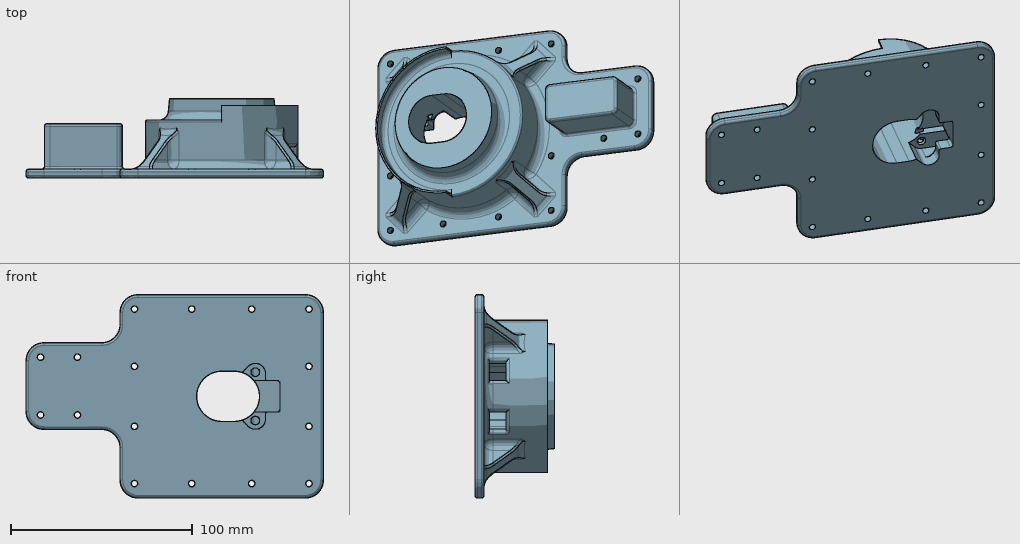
import cadquery as cq
import math

body_size = 112.0
tab_length = 51.7
tab_height = 47.8
tab_center_z = 5.65
plate_thickness = 5.0
plate_corner_radius = 10.0
plate_edge_radius = 1.5
half_body = body_size / 2
tab_end_x = -half_body - tab_length

screw_diameter = 3.4
screw_edge_inset = 8.0
outer_screw_offset = half_body - screw_edge_inset
inner_screw_offset = 16.5
tab_screw_pitch = 20.3
outer_tab_screw_x = tab_end_x + screw_edge_inset
tab_screw_x = (outer_tab_screw_x, outer_tab_screw_x + tab_screw_pitch)
tab_screw_offset_z = tab_height / 2 - screw_edge_inset

drum_radius = 42.0
drum_top = 32.0
drum_rim_radius = 1.0
root_radius = 5.0
wall_thickness = drum_rim_radius
wall_top = 40.0
wall_root_radius = 3.0
boss_top = 43.8
boss_top_radius = 28.8
boss_base_radius = 29.5
boss_root_radius = 5.0

rib_thickness = 8.0
rib_foot_radius = 62.0
rib_edge_chamfer = 1.0
rib_angles = (45, 135, 225, 315)

box_length = 43.0
box_height = 21.7
box_center_x = -76.1
box_top = 30.0
box_corner_radius = 3.0
box_edge_radius = 1.5
box_root_radius = 1.5

opening_radius = 13.75
opening_travel = 7.0

pocket_end_x = 32.0
pocket_half_height = 8.6
pocket_depth = 22.0
pocket_corner_radius = 1.5
lobe_center_x = 18.5
lobe_center_z = 12.5
lobe_radius = 5.6
lobe_depth = 17.0
lobe_notch_radius = 1.0

slot_start_depth = 8.0
slot_outer_z = lobe_center_z + lobe_radius
slot_rim_radius = 2.0

pilot_diameter = 4.7
pilot_z = 13.3
cross_hole_depth = 21.5
cross_hole_reach = 16.5


def section(y):
    """Sketch plane parallel to XZ at depth y; its normal faces -Y."""
    return cq.Workplane(cq.Plane(origin=(0, y, 0), xDir=(1, 0, 0), normal=(0, -1, 0)))


def prism(sketch, length):
    """Extrude a section toward +Y."""
    return sketch.extrude(-length)


def make_plate():
    """Square body and tab; the corners between and around them share one radius."""
    body = prism(section(0).rect(body_size, body_size), plate_thickness)
    tab = prism(
        section(0).center(tab_end_x / 2, tab_center_z).rect(-tab_end_x, tab_height),
        plate_thickness,
    )
    plate = body.union(tab).edges("|Y").fillet(plate_corner_radius)
    return plate.faces("<Y or >Y").edges().fillet(plate_edge_radius)


def make_rib(angle):
    """Radial rib with a 45 degree ridge, starting inside the drum and inside the plate."""
    start_radius = drum_radius - root_radius
    embed = plate_thickness / 2
    profile = [
        (start_radius, embed),
        (rib_foot_radius + embed, embed),
        (start_radius, plate_thickness + rib_foot_radius - start_radius),
    ]
    rib = cq.Workplane("XY").polyline(profile).close().extrude(rib_thickness / 2, both=True)
    return rib.rotate((0, 0, 0), (0, 1, 0), angle)


def ridge_edges():
    """Selector for the straight edges that run up the rib ridges."""
    selector = None
    for angle in rib_angles:
        turn = math.radians(angle)
        along = cq.selectors.ParallelDirSelector(cq.Vector(-math.cos(turn), 1, math.sin(turn)))
        selector = along if selector is None else selector + along
    return selector


def add_drum_and_ribs(plate):
    """Join the drum and ribs to the plate and round every inside corner between them."""
    drum = prism(section(0).circle(drum_radius), drum_top)
    body = plate.union(drum.faces(">Y").edges().fillet(drum_rim_radius))
    for angle in rib_angles:
        body = body.union(make_rib(angle))
    foot_reach = half_body - 2 * plate_edge_radius
    margin = 0.1
    foot_edges = cq.selectors.BoxSelector(
        (-foot_reach, plate_thickness - margin, -foot_reach),
        (foot_reach, plate_thickness + margin, foot_reach),
        boundingbox=True,
    )
    drum_reach = drum_radius + margin
    drum_edges = cq.selectors.BoxSelector(
        (-drum_reach, plate_thickness - margin, -drum_reach),
        (drum_reach, drum_top - margin, drum_reach),
        boundingbox=True,
    )
    body = body.edges(foot_edges + drum_edges).fillet(root_radius)
    return body.edges(ridge_edges()).chamfer(rib_edge_chamfer)


def make_boss():
    """Tapered boss that flares into the drum top."""
    flare_start = drum_top + boss_root_radius
    flare_foot = boss_base_radius + boss_root_radius
    bend = boss_root_radius * (1 - math.sqrt(0.5))
    profile = (
        cq.Workplane("XY")
        .moveTo(0, plate_thickness)
        .lineTo(flare_foot, plate_thickness)
        .lineTo(flare_foot, drum_top)
        .threePointArc((boss_base_radius + bend, drum_top + bend), (boss_base_radius, flare_start))
        .lineTo(boss_top_radius, boss_top)
        .lineTo(0, boss_top)
        .close()
    )
    return profile.revolve(360, (0, 0, 0), (0, 1, 0))


def make_half_wall():
    """Thin upright wall round the +X half of the drum, with a rounded inside root."""
    inner_radius = drum_radius - wall_thickness
    bend = wall_root_radius * (1 - math.sqrt(0.5))
    profile = (
        cq.Workplane("XY")
        .moveTo(drum_radius, drum_top - drum_rim_radius)
        .lineTo(drum_radius, wall_top)
        .lineTo(inner_radius, wall_top)
        .lineTo(inner_radius, drum_top + wall_root_radius)
        .threePointArc(
            (inner_radius - bend, drum_top + bend),
            (inner_radius - wall_root_radius, drum_top),
        )
        .lineTo(inner_radius - wall_root_radius, drum_top - drum_rim_radius)
        .close()
    )
    ring = profile.revolve(180, (0, 0, 0), (0, 1, 0))
    return ring.rotate((0, 0, 0), (0, 1, 0), -90)


def make_box():
    """Solid box with rounded upright corners and a rounded back rim."""
    box = prism(
        section(0).center(box_center_x, tab_center_z).rect(box_length, box_height), box_top
    )
    return box.edges("|Y").fillet(box_corner_radius).faces(">Y").edges().fillet(box_edge_radius)


def add_box(body):
    """Join the box to the tab and round the corner round its foot."""
    margin = box_root_radius / 2
    reach_x = box_length / 2 + margin
    reach_z = box_height / 2 + margin
    foot_edges = cq.selectors.BoxSelector(
        (box_center_x - reach_x, plate_thickness - margin, tab_center_z - reach_z),
        (box_center_x + reach_x, plate_thickness + margin, tab_center_z + reach_z),
        boundingbox=True,
    )
    return body.union(make_box()).edges(foot_edges).fillet(box_root_radius)


def make_opening():
    """Obround opening along Y, from the drum axis toward +X."""
    length = opening_travel + 2 * opening_radius
    outline = section(0).center(opening_travel / 2, 0).slot2D(length, 2 * opening_radius)
    return prism(outline, boss_top)


def make_lobe(side):
    """Pilot-hole recess: a round end with one straight flank and one 45 degree flank."""
    reach = lobe_radius * math.sqrt(0.5)
    flank_run = lobe_center_z + reach
    outline = (
        section(0)
        .moveTo(lobe_center_x + lobe_radius, 0)
        .lineTo(lobe_center_x + lobe_radius, side * lobe_center_z)
        .threePointArc(
            (lobe_center_x, side * (lobe_center_z + lobe_radius)),
            (lobe_center_x - reach, side * (lobe_center_z + reach)),
        )
        .lineTo(lobe_center_x - reach - flank_run, 0)
        .close()
    )
    return prism(outline, lobe_depth)


def pocket_block(start, end):
    """Rectangular part of the pocket between two depths."""
    outline = section(start).center(pocket_end_x / 2, 0).rect(pocket_end_x, 2 * pocket_half_height)
    return prism(outline, end - start)


def make_pocket():
    """Pocket with rounded corners at the plate face and square corners deeper in."""
    lobes = make_lobe(1).union(make_lobe(-1))
    front = pocket_block(0, slot_start_depth).edges("|Y and >X").fillet(pocket_corner_radius)
    margin = 0.1
    notch_x = lobe_center_x + lobe_radius
    notch_edges = cq.selectors.BoxSelector(
        (notch_x - margin, -margin, -pocket_half_height - margin),
        (notch_x + margin, slot_start_depth + margin, pocket_half_height + margin),
        boundingbox=True,
    )
    front = front.union(lobes).edges(notch_edges).edges("|Y").fillet(lobe_notch_radius)
    return front.union(pocket_block(slot_start_depth, pocket_depth))


def make_side_slot(side):
    """Rectangular slot from a lobe out past the drum surface."""
    slot_end_x = half_body
    return prism(
        section(slot_start_depth)
        .center((lobe_center_x + slot_end_x) / 2, side * (pocket_half_height + slot_outer_z) / 2)
        .rect(slot_end_x - lobe_center_x, slot_outer_z - pocket_half_height),
        lobe_depth - slot_start_depth,
    )


def make_pilot_hole(side):
    """Hole from a lobe floor down to the middle of the cross hole."""
    outline = section(lobe_depth).center(lobe_center_x, side * pilot_z).circle(pilot_diameter / 2)
    return prism(outline, cross_hole_depth - lobe_depth)


def make_cross_hole(side):
    """Hole along Z from the pocket wall outward, stopping just beyond a pilot hole."""
    near = side * pocket_half_height
    outline = (
        cq.Workplane("XY", origin=(0, 0, near))
        .center(lobe_center_x, cross_hole_depth)
        .circle(pilot_diameter / 2)
    )
    return outline.extrude(side * cross_hole_reach - near)


def make_screw_holes():
    """Twelve holes round the square body and four on the tab."""
    outer = outer_screw_offset
    inner = inner_screw_offset
    points = []
    for edge in (-outer, outer):
        for along in (-outer, -inner, inner, outer):
            points.append((along, edge))
        for along in (-inner, inner):
            points.append((edge, along))
    for x in tab_screw_x:
        for side in (-1, 1):
            points.append((x, tab_center_z + side * tab_screw_offset_z))
    return prism(section(0).pushPoints(points).circle(screw_diameter / 2), plate_thickness)


def round_slot_mouth(body, side):
    """Round the mouth of a side slot where it leaves the drum surface."""
    margin = 0.5
    low, high = sorted((side * (pocket_half_height - margin), side * (slot_outer_z + margin)))
    mouth = cq.selectors.BoxSelector(
        (pocket_end_x + margin, slot_start_depth - margin, low),
        (half_body, lobe_depth + margin, high),
        boundingbox=True,
    )
    return body.edges(mouth).edges("not |X").fillet(slot_rim_radius)


result = add_drum_and_ribs(make_plate())
result = result.union(make_boss()).union(make_half_wall())
result = add_box(result)
result = result.cut(make_pocket()).cut(make_opening())
for side in (-1, 1):
    result = result.cut(make_side_slot(side)).cut(make_pilot_hole(side)).cut(make_cross_hole(side))
    result = round_slot_mouth(result, side)
result = result.cut(make_screw_holes())